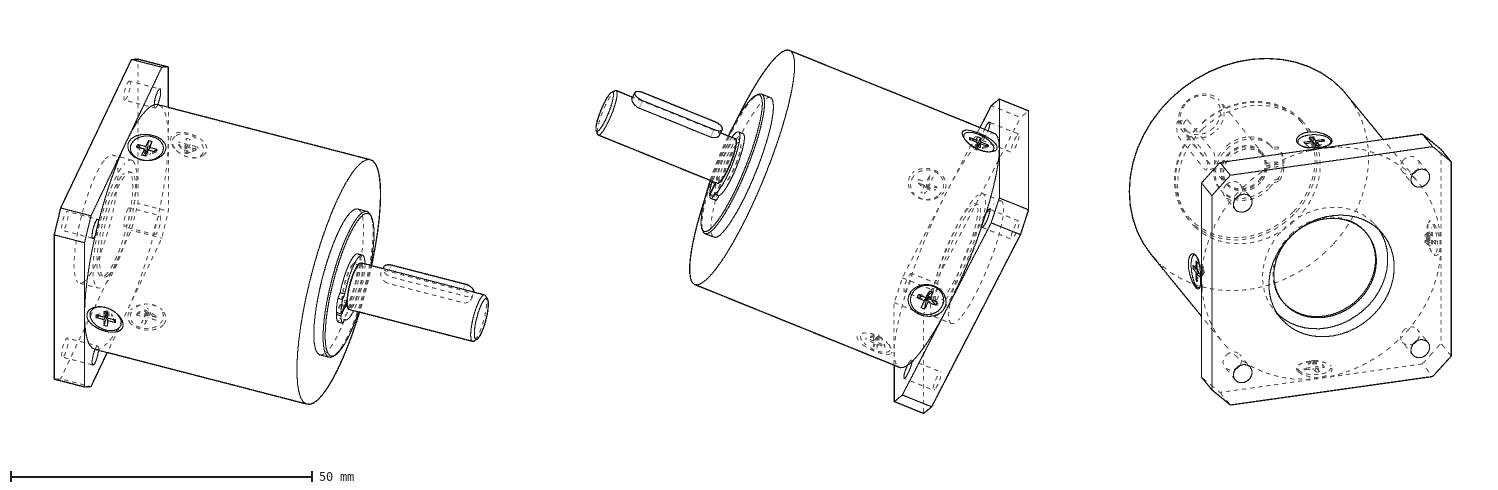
import cadquery as cq

TOTAL_LENGTH = 67.8
HOUSING_DIAMETER = 42.0
HOUSING_RADIUS = HOUSING_DIAMETER / 2
HOUSING_END = 42.7

FLANGE_THICKNESS = 5.35
FLANGE_CORNER = 3.25
MOUNT_HOLE_DIAMETER = 3.25
MOUNT_CIRCLE_DIAMETER = 44.0
MOUNT_HOLE_COUNT = 4

BORE_DIAMETER = 22.0
BORE_DEPTH = 3.3
RECESS_DIAMETER = 18.0
RECESS_DEPTH = 0.5

PILOT_DIAMETER = 25.0
PILOT_LENGTH = 1.9
PILOT_CHAMFER = 0.3
PILOT_END = HOUSING_END + PILOT_LENGTH

SHAFT_DIAMETER = 8.0
SHAFT_CHAMFER = 0.5
GROOVE_DIAMETER = 7.6
GROOVE_WIDTH = 0.95

KEY_WIDTH = 3.0
KEY_LENGTH = 16.0
KEY_START = 48.7
KEY_TOP = 5.2

RING_THICKNESS = 0.8
RING_START = PILOT_END + (GROOVE_WIDTH - RING_THICKNESS) / 2
RING_RADIUS = 5.55
RING_OFFSET = 0.35
EAR_REACH = 6.85
EAR_ROOT_HALF_SPAN = 3.2
EAR_ROOT_REACH = 4.7
EAR_TIP_HALF_SPAN = 2.9
EAR_SIDE_REACH = 6.05
RING_GAP = 0.5

SCREW_COUNT = 4
SCREW_X = 8.95
SCREW_HEAD_DIAMETER = 5.5
SCREW_HEAD_SINK = 0.35
COUNTERSINK_DIAMETER = 6.4
CROSS_LENGTH = 3.45
CROSS_WIDTH = 0.6
CROSS_WALL_TAPER = 8
CROSS_DEPTH = 1.2
CROSS_FLOOR_DIAMETER = 1.2


def cylinder(diameter, start, length):
    """Solid cylinder on the X axis."""
    return cq.Workplane("YZ", origin=(start, 0, 0)).circle(diameter / 2).extrude(length)


def make_flange():
    flange = (
        cq.Workplane("YZ")
        .rect(HOUSING_DIAMETER, HOUSING_DIAMETER)
        .extrude(FLANGE_THICKNESS)
        .edges("|X")
        .chamfer(FLANGE_CORNER)
    )
    mount_holes = (
        cq.Workplane("YZ")
        .polarArray(MOUNT_CIRCLE_DIAMETER / 2, 180 / MOUNT_HOLE_COUNT, 360, MOUNT_HOLE_COUNT)
        .circle(MOUNT_HOLE_DIAMETER / 2)
        .extrude(FLANGE_THICKNESS)
    )
    return flange.cut(mount_holes)


def make_shaft():
    shaft = cylinder(SHAFT_DIAMETER, HOUSING_END, TOTAL_LENGTH - HOUSING_END)
    shaft = shaft.faces(">X").chamfer(SHAFT_CHAMFER)
    groove = cylinder(SHAFT_DIAMETER, PILOT_END, GROOVE_WIDTH)
    groove = groove.cut(cylinder(GROOVE_DIAMETER, PILOT_END, GROOVE_WIDTH))
    return shaft.cut(groove)


def make_key():
    """Round-ended key standing on the shaft axis plane."""
    return (
        cq.Workplane("XZ", origin=(KEY_START + KEY_LENGTH / 2, 0, 0))
        .slot2D(KEY_LENGTH, KEY_WIDTH)
        .extrude(-KEY_TOP)
    )


def make_retaining_ring():
    """Ring set off towards its ears and split between them; the shaft fills its centre."""
    plane = cq.Workplane("YZ", origin=(RING_START, 0, 0))
    ring = plane.center(-RING_OFFSET, 0).circle(RING_RADIUS).extrude(RING_THICKNESS)
    ears = (
        plane.moveTo(0, EAR_ROOT_HALF_SPAN)
        .lineTo(-EAR_ROOT_REACH, EAR_ROOT_HALF_SPAN)
        .lineTo(-EAR_SIDE_REACH, EAR_TIP_HALF_SPAN)
        .threePointArc((-EAR_REACH, 0), (-EAR_SIDE_REACH, -EAR_TIP_HALF_SPAN))
        .lineTo(-EAR_ROOT_REACH, -EAR_ROOT_HALF_SPAN)
        .lineTo(0, -EAR_ROOT_HALF_SPAN)
        .close()
        .extrude(RING_THICKNESS)
    )
    gap = plane.center(-EAR_REACH / 2, 0).rect(EAR_REACH, RING_GAP).extrude(RING_THICKNESS)
    return ring.union(ears).cut(gap)


def make_screw_cut():
    """Material removed above and inside one screw head on the +Z side."""
    head_level = HOUSING_RADIUS - SCREW_HEAD_SINK
    head_plane = cq.Workplane("XY", origin=(SCREW_X, 0, head_level))
    countersink = (
        head_plane.circle(SCREW_HEAD_DIAMETER / 2)
        .workplane(offset=SCREW_HEAD_SINK)
        .circle(COUNTERSINK_DIAMETER / 2)
        .loft()
    )
    cross = (
        head_plane.rect(CROSS_LENGTH, CROSS_WIDTH).extrude(-CROSS_DEPTH, taper=CROSS_WALL_TAPER)
        .union(head_plane.rect(CROSS_WIDTH, CROSS_LENGTH).extrude(-CROSS_DEPTH, taper=CROSS_WALL_TAPER))
    )
    cone = (
        head_plane.circle(CROSS_LENGTH / 2)
        .workplane(offset=-CROSS_DEPTH)
        .circle(CROSS_FLOOR_DIAMETER / 2)
        .loft()
    )
    return countersink.union(cross.intersect(cone))


housing = cylinder(HOUSING_DIAMETER, FLANGE_THICKNESS, HOUSING_END - FLANGE_THICKNESS)
pilot = cylinder(PILOT_DIAMETER, HOUSING_END, PILOT_LENGTH).faces(">X").chamfer(PILOT_CHAMFER)

result = make_flange().union(housing).union(pilot)
result = result.cut(cylinder(BORE_DIAMETER, 0, BORE_DEPTH))
result = result.cut(cylinder(RECESS_DIAMETER, BORE_DEPTH, RECESS_DEPTH))
screw_cut = make_screw_cut()
for index in range(SCREW_COUNT):
    angle = index * 360 / SCREW_COUNT
    result = result.cut(screw_cut.rotate((0, 0, 0), (1, 0, 0), angle))
output_parts = make_shaft().union(make_retaining_ring()).union(make_key())
result = result.union(output_parts)